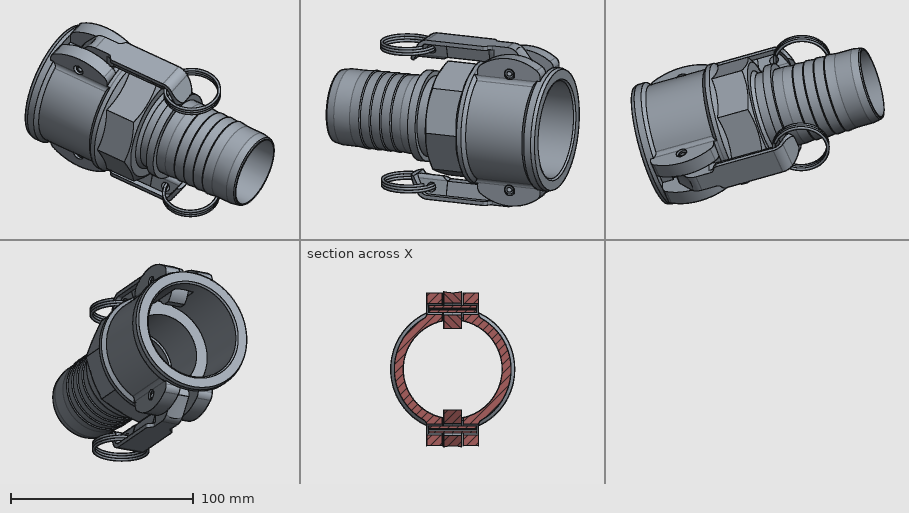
import cadquery as cq
import math

length = 128.0
flange_radius = 34.0
barrel_radius = 32.0
bead_step = flange_radius - barrel_radius
front_flange_end = 6.0
front_edge_length = 2.0
front_edge_drop = 0.7
rear_flange_start = 43.0
rear_flange_end = 45.6
octagon_flats = 60.0
octagon_end = 66.0
octagon_chamfer = 2.0
steep_slope = math.tan(math.radians(60))
cone_end = rear_flange_end + (flange_radius - octagon_flats / 2) / steep_slope

neck_radius = 44.5 / 2
neck_chamfer = 1.9
stop_ring_radius = 50.0 / 2
stop_ring_start = 73.5
stop_ring_end = 78.0
tail_radius = 43.36 / 2
barb_start = 83.7
barb_pitch = 6.08
barb_count = 4
barb_step_length = 0.7
barb_root_radius = 21.1
tip_radius = 42.0 / 2
tip_start = 113.7
tip_taper_start = 123.0
tip_taper_end = 127.3
tip_taper_radius = 20.2
tip_end_radius = 19.7

socket_radius = 54.0 / 2
socket_depth = 35.0
socket_chamfer = 1.0
throat_radius = 41.0 / 2
throat_end = 64.0
tail_bore_radius = 38.0 / 2

lug_start = 4.3
lug_end = 41.1
lug_half_width = 14.2
lug_base = 26.0
lug_shoulder_height = 35.2
lug_peak_height = 41.9
lug_corner_radius = 4.8
lug_slot_half_width = 5.65
lug_slot_floor = 28.0
lug_root_radius = 3.0
lug_middle = (lug_start + lug_end) / 2
cam_window_start = 10.6
cam_window_end = socket_depth
cam_window_base = 20.0

pivot_x = 22.3
pivot_height = 33.0
lug_hole_diameter = 6.0
lever_hole_diameter = 6.5
pin_diameter = 5.0
pin_recess = 1.0
pin_bite = 0.03
pin_offset = (lug_hole_diameter - pin_diameter) / 2 + pin_bite
pin_half_length = lug_half_width - pin_recess
pin_eye_radius = 1.35
pin_eye_corner = 1.95

lever_top = 45.3
plate_thickness = 2.3
plate_underside = lever_top - plate_thickness
plate_half_width = 7.9
nose_half_width = 4.95
nose_tip_x = 14.3
nose_tip_height = 33.5
nose_top_x = 27.4
nose_bulge_x = 23.8
nose_bulge_height = 44.5
nose_shoulder_x = 21.2
nose_shoulder_height = 42.4
nose_scoop_radius = 30.0
nose_scoop_depth = 0.43
cam_bottom = 22.2
cam_bulge_x = 15.6
cam_bulge_height = 26.8
cam_flat_start = 19.5
cam_flat_end = 24.0
heel_x = 34.0
heel_bulge_x = 30.0
heel_bulge_height = 26.5
flare_start = 35.9
flare_end = 40.5
web_start = 35.0
web_full_x = 38.2
web_bottom = 35.2
web_half_width = nose_half_width
web_draft = math.radians(15)
keel_draft = math.radians(17)
keel_start = 63.2
keel_full_x = 66.5
keel_bottom = 33.3
keel_edge_radius = 2.6
lip_bottom = 33.0
lip_end = 84.2
lip_angle = math.radians(60)
lip_corner_radius = 5.0
curl_radius = 6.5
curl_z = lever_top - curl_radius
curl_x = lip_end - (lever_top - lip_bottom) / math.tan(lip_angle) - curl_radius * math.tan(lip_angle / 2)
lip_length = plate_thickness / math.sin(lip_angle)

ring_hole_diameter = 5.0
ring_hole_x = 72.4
ring_height = 39.3
ring_center_x = 86.85
ring_center_y = 0.7
ring_mean_radius = 14.8
ring_wire_diameter = 1.5
ring_pitch = 1.56
ring_end_angle = 142.0
ring_turns = 2 + 2 * ring_end_angle / 360


def side_prism(outline, half_width):
    """Extrude an XZ outline evenly to both sides of the XZ plane."""
    return outline.extrude(half_width, both=True)


def cross_pin(x, height, diameter, half_width):
    """A cylinder parallel to Y, centred on the XZ plane."""
    return side_prism(cq.Workplane("XZ").center(x, height).circle(diameter / 2), half_width)


def block(x_start, x_end, half_width, z_start, z_end):
    """A box centred on the XZ plane."""
    sketch = cq.Workplane("XY").workplane(offset=z_start).center((x_start + x_end) / 2, 0)
    return sketch.rect(x_end - x_start, 2 * half_width).extrude(z_end - z_start)


def turned(points):
    """Revolve an (x, radius) outline about the X axis."""
    return cq.Workplane("XY").polyline(points).close().revolve(360, (0, 0, 0), (1, 0, 0))


def opposite(body):
    """The copy of a body on the other side of the X axis."""
    return body.rotate((0, 0, 0), (1, 0, 0), 180)


def make_coupler_barrel():
    return turned([
        (0, 0),
        (0, flange_radius - front_edge_drop),
        (front_edge_length, flange_radius),
        (front_flange_end, flange_radius),
        (front_flange_end + bead_step, barrel_radius),
        (rear_flange_start - bead_step, barrel_radius),
        (rear_flange_start, flange_radius),
        (rear_flange_end, flange_radius),
        (cone_end, octagon_flats / 2),
        (cone_end, 0),
    ])


def make_octagon():
    corner_radius = octagon_flats / 2 / math.cos(math.pi / 8)
    prism = (
        cq.Workplane("YZ")
        .workplane(offset=rear_flange_end)
        .polygon(8, 2 * corner_radius)
        .extrude(octagon_end - rear_flange_end)
    )
    chamfer_cone = turned([
        (rear_flange_end, 0),
        (rear_flange_end, corner_radius),
        (octagon_end - octagon_chamfer, corner_radius),
        (octagon_end, corner_radius - octagon_chamfer * steep_slope),
        (octagon_end, 0),
    ])
    return prism.intersect(chamfer_cone)


def make_hose_tail():
    points = [
        (rear_flange_end, 0),
        (rear_flange_end, neck_radius + neck_chamfer),
        (octagon_end, neck_radius + neck_chamfer),
        (octagon_end + neck_chamfer, neck_radius),
        (stop_ring_start, neck_radius),
        (stop_ring_start, stop_ring_radius),
        (stop_ring_end, stop_ring_radius),
        (stop_ring_end, tail_radius),
        (barb_start, tail_radius),
    ]
    for barb in range(1, barb_count + 1):
        step_x = barb_start + barb * barb_pitch
        points.append((step_x - barb_step_length, barb_root_radius))
        points.append((step_x, tail_radius))
    points += [
        (tip_start, tip_radius),
        (tip_taper_start, tip_radius),
        (tip_taper_end, tip_taper_radius),
        (length, tip_end_radius),
        (length, 0),
    ]
    return turned(points)


def make_lug_block():
    outline = (
        cq.Workplane("XZ")
        .moveTo(lug_start, lug_base)
        .lineTo(lug_start, lug_shoulder_height)
        .threePointArc((lug_middle, lug_peak_height), (lug_end, lug_shoulder_height))
        .lineTo(lug_end, lug_base)
        .close()
    )
    lugs = side_prism(outline, lug_half_width)
    corners = cq.selectors.BoxSelector(
        (lug_start - 1, -lug_half_width - 1, lug_shoulder_height - 1),
        (lug_end + 1, lug_half_width + 1, lug_shoulder_height + 1),
    )
    lugs = lugs.edges("|Y").edges(corners).fillet(lug_corner_radius)
    return lugs.union(make_lug_base())


def make_lug_base():
    """The strip under the lugs, blended into the barrel and flush with the flanges."""
    arc_y = lug_half_width + lug_root_radius
    arc_reach = barrel_radius + lug_root_radius
    arc_z = math.sqrt(arc_reach**2 - arc_y**2)
    foot_y = arc_y * barrel_radius / arc_reach
    foot_z = arc_z * barrel_radius / arc_reach
    half_turn = (math.pi + math.atan2(-arc_z, -arc_y) + 2 * math.pi) / 2
    hollow_y = arc_y + lug_root_radius * math.cos(half_turn)
    hollow_z = arc_z + lug_root_radius * math.sin(half_turn)
    crown_z = math.sqrt(flange_radius**2 - lug_half_width**2)
    return (
        cq.Workplane("YZ")
        .workplane(offset=front_flange_end)
        .moveTo(-foot_y, foot_z)
        .threePointArc((-hollow_y, hollow_z), (-lug_half_width, arc_z))
        .lineTo(-lug_half_width, crown_z)
        .threePointArc((0, flange_radius), (lug_half_width, crown_z))
        .lineTo(lug_half_width, arc_z)
        .threePointArc((hollow_y, hollow_z), (foot_y, foot_z))
        .lineTo(lug_half_width, lug_base)
        .lineTo(-lug_half_width, lug_base)
        .close()
        .extrude(rear_flange_start - front_flange_end)
    )


def cut_lever_openings(housing):
    slot = block(lug_start, lug_end, lug_slot_half_width, lug_slot_floor, lug_peak_height + 1)
    window = block(
        cam_window_start, cam_window_end, lug_slot_half_width, cam_window_base, lug_peak_height + 1
    )
    hole = cross_pin(pivot_x, pivot_height, lug_hole_diameter, lug_half_width + 1)
    return housing.cut(slot).cut(window).cut(hole)


def make_pivot_pin():
    """A hollow pin resting against the rear wall of its hole, with a drop-shaped eye."""
    center_x = pivot_x + pin_offset
    pin = cross_pin(center_x, pivot_height, pin_diameter, pin_half_length)
    touch_angle = math.acos(pin_eye_radius / pin_eye_corner)
    touch_x = center_x - pin_eye_radius * math.cos(touch_angle)
    touch_rise = pin_eye_radius * math.sin(touch_angle)
    eye = (
        cq.Workplane("XZ")
        .moveTo(center_x - pin_eye_corner, pivot_height)
        .lineTo(touch_x, pivot_height + touch_rise)
        .threePointArc(
            (center_x + pin_eye_radius, pivot_height), (touch_x, pivot_height - touch_rise)
        )
        .close()
    )
    return pin.cut(side_prism(eye, pin_half_length))


def make_bores():
    return turned([
        (0, 0),
        (0, socket_radius + socket_chamfer),
        (socket_chamfer, socket_radius),
        (socket_depth, socket_radius),
        (socket_depth, throat_radius),
        (throat_end, throat_radius),
        (throat_end, tail_bore_radius),
        (length, tail_bore_radius),
        (length, 0),
    ])


def make_housing():
    lugs = make_lug_block()
    pin = make_pivot_pin()
    housing = make_coupler_barrel().union(make_octagon()).union(make_hose_tail())
    housing = housing.union(lugs).union(opposite(lugs)).cut(make_bores())
    housing = opposite(cut_lever_openings(opposite(cut_lever_openings(housing))))
    return housing.union(pin).union(opposite(pin))


def make_lever_nose():
    outline = (
        cq.Workplane("XZ")
        .moveTo(web_start, lever_top)
        .lineTo(nose_top_x, lever_top)
        .threePointArc(
            (nose_bulge_x, nose_bulge_height),
            (nose_shoulder_x, nose_shoulder_height),
        )
        .lineTo(nose_tip_x, nose_tip_height)
        .threePointArc((cam_bulge_x, cam_bulge_height), (cam_flat_start, cam_bottom))
        .lineTo(cam_flat_end, cam_bottom)
        .threePointArc((heel_bulge_x, heel_bulge_height), (heel_x, web_bottom))
        .lineTo(web_start, web_bottom)
        .close()
    )
    return side_prism(outline, nose_half_width)


def curl_point(radius, angle):
    """A point (x, z) on the bend that joins the plate to its lip, measured from the bend's start."""
    return (curl_x + radius * math.sin(angle), curl_z + radius * math.cos(angle))


def make_lever_plate():
    inner_radius = curl_radius - plate_thickness
    outline = (
        cq.Workplane("XZ")
        .moveTo(nose_top_x, lever_top)
        .lineTo(curl_x, lever_top)
        .threePointArc(curl_point(curl_radius, lip_angle / 2), curl_point(curl_radius, lip_angle))
        .lineTo(lip_end, lip_bottom)
        .lineTo(lip_end - lip_length, lip_bottom)
        .lineTo(*curl_point(inner_radius, lip_angle))
        .threePointArc(curl_point(inner_radius, lip_angle / 2), curl_point(inner_radius, 0))
        .lineTo(nose_top_x, plate_underside)
        .close()
    )
    return side_prism(outline, plate_half_width).intersect(make_plate_plan())


def make_plate_plan():
    flare_x = (flare_start + flare_end) / 2
    flare_y = (nose_half_width + plate_half_width) / 2
    half_plan = (
        cq.Workplane("XY")
        .moveTo(nose_top_x, 0)
        .lineTo(nose_top_x, nose_half_width)
        .lineTo(flare_start, nose_half_width)
        .tangentArcPoint((flare_x, flare_y), relative=False)
        .tangentArcPoint((flare_end, plate_half_width), relative=False)
        .lineTo(lip_end - lip_corner_radius, plate_half_width)
        .tangentArcPoint((lip_end, plate_half_width - lip_corner_radius), relative=False)
        .lineTo(lip_end, 0)
        .close()
        .extrude(lever_top)
    )
    return half_plan.union(half_plan.mirror("XZ"))


def web_section(x, draft):
    """Corners of the web at x: its sides lean inwards by the draft angle below the plate."""
    keel_half_width = web_half_width - (plate_underside - keel_bottom) * math.tan(draft)
    half_section = [
        (x, web_half_width, lever_top),
        (x, web_half_width, plate_underside),
        (x, keel_half_width, keel_bottom),
    ]
    return half_section + [(x, -y, z) for x, y, z in reversed(half_section)]


def make_web_bar(x_start, start_draft, x_end, end_draft):
    """A straight bar between two web sections."""
    start = cq.Wire.makePolygon([cq.Vector(*p) for p in web_section(x_start, start_draft)], close=True)
    end = cq.Wire.makePolygon([cq.Vector(*p) for p in web_section(x_end, end_draft)], close=True)
    return cq.Workplane(cq.Solid.makeLoft([start, end], True))


def make_lever_web():
    middle_radius = curl_radius - plate_thickness / 2
    outline = (
        cq.Workplane("XZ")
        .moveTo(web_start, lever_top - plate_thickness / 2)
        .lineTo(*curl_point(middle_radius, 0))
        .threePointArc(
            curl_point(middle_radius, lip_angle / 2), curl_point(middle_radius, lip_angle)
        )
        .lineTo(lip_end - lip_length / 2 - (keel_bottom - lip_bottom) / math.tan(lip_angle), keel_bottom)
        .lineTo(keel_full_x, keel_bottom)
        .lineTo(keel_start, web_bottom)
        .lineTo(web_start, web_bottom)
        .close()
    )
    taper = make_web_bar(web_start, 0, web_full_x, web_draft)
    front = make_web_bar(web_full_x, web_draft, keel_start, web_draft)
    rear = make_web_bar(keel_start, keel_draft, lip_end, keel_draft)
    rear = rear.faces("<Z").edges(">Y or <Y").fillet(keel_edge_radius)
    return side_prism(outline, plate_half_width).intersect(taper.union(front).union(rear))


def make_nose_scoop():
    """A cylinder whose axis runs along the sloping front face of the nose."""
    slope = math.atan2(nose_shoulder_height - nose_tip_height, nose_shoulder_x - nose_tip_x)
    axis = cq.Vector(math.cos(slope), 0, math.sin(slope))
    outward = cq.Vector(-math.sin(slope), 0, math.cos(slope))
    base = cq.Vector(nose_tip_x, 0, nose_tip_height)
    base = base + outward * (nose_scoop_radius - nose_scoop_depth)
    return cq.Workplane(cq.Solid.makeCylinder(nose_scoop_radius, 2 * nose_scoop_radius, base, axis))


def make_lever():
    lever = make_lever_nose().union(make_lever_plate()).union(make_lever_web())
    lever = lever.cut(make_nose_scoop())
    pivot_hole = cross_pin(pivot_x, pivot_height, lever_hole_diameter, plate_half_width)
    ring_hole = cross_pin(ring_hole_x, ring_height, ring_hole_diameter, plate_half_width)
    return lever.cut(pivot_hole).cut(ring_hole)


def make_ring():
    """A coil whose open ends both stop just short of the lever."""
    coil_height = ring_pitch * ring_turns
    path = cq.Wire.makeHelix(ring_pitch, coil_height, ring_mean_radius)
    wire = (
        cq.Workplane("XZ")
        .center(ring_mean_radius, 0)
        .circle(ring_wire_diameter / 2)
        .sweep(cq.Workplane(path), isFrenet=True)
    )
    wire = wire.rotate((0, 0, 0), (0, 0, 1), -ring_end_angle)
    return wire.translate((ring_center_x, ring_center_y, ring_height - coil_height / 2))


housing = make_housing()
lever = make_lever()
ring = make_ring()
upper_and_lower = [lever, opposite(lever), ring, opposite(ring)]
result = cq.Compound.makeCompound([housing.val(), *[body.val() for body in upper_and_lower]])